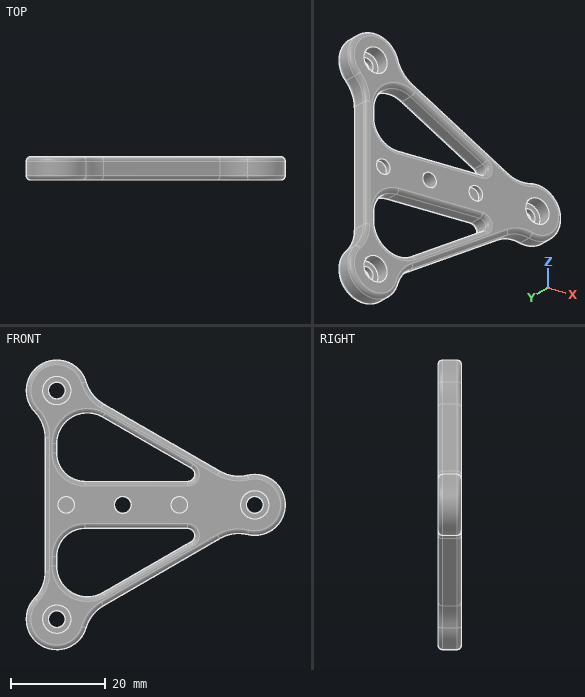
import cadquery as cq
import math

thickness = 5.0
edge_round = 1.0

lug_distance = 28.0
lug_radius = 6.5
lug_angles = (0, 120, 240)
screw_diameter = 3.5
counterbore_diameter = 6.0
counterbore_depth = 3.4

inner_distance = lug_distance / 2
strut_width = 2.5
outer_distance = inner_distance + strut_width
neck_radius = 8.0

bar_half_width = 5.0
bar_hole_diameter = 3.5
blind_hole_offset = 12.0
blind_hole_depth = 1.4

bar_corner_radius = 6.0
lug_corner_radius = 6.5
tip_corner_radius = 1.5


def polar(distance, angle):
    """X, Z position at a distance from the origin and an angle from +X."""
    turn = math.radians(angle)
    return (distance * math.cos(turn), distance * math.sin(turn))


def prism(points):
    """Straight-sided block through the full plate thickness."""
    return cq.Workplane("XZ").polyline(points).close().extrude(-thickness)


def bore(points, diameter, depth):
    """Round bores of the given depth, entered from the front face."""
    return cq.Workplane("XZ").pushPoints(points).circle(diameter / 2).extrude(-depth)


def edge_at(x, z):
    """Selector for the edge along Y that passes through X, Z."""
    return cq.selectors.NearestToPointSelector((x, thickness / 2, z))


def make_body(lugs):
    """Triangular plate with round lugs blended in at its corners."""
    corners = [polar(2 * outer_distance, angle) for angle in lug_angles]
    body = prism(corners).union(bore(lugs, 2 * lug_radius, thickness))
    return body.edges("|Y").fillet(neck_radius)


def make_window():
    """Upper window, between the bar, the left strut and the sloping strut."""
    bar_corner = (-inner_distance, bar_half_width)
    lug_corner = polar(lug_distance, 120)
    tip_x = 2 * inner_distance - bar_half_width * math.tan(math.radians(60))
    tip_corner = (tip_x, bar_half_width)
    window = prism([bar_corner, lug_corner, tip_corner])
    window = window.edges(edge_at(*bar_corner)).fillet(bar_corner_radius)
    window = window.edges(edge_at(*lug_corner)).fillet(lug_corner_radius)
    return window.edges(edge_at(*tip_corner)).fillet(tip_corner_radius)


lug_centers = [polar(lug_distance, angle) for angle in lug_angles]
blind_centers = [(-blind_hole_offset, 0), (blind_hole_offset, 0)]

upper_window = make_window()
lower_window = upper_window.mirror("XY")
plate = make_body(lug_centers).cut(upper_window).cut(lower_window)

plate = plate.faces("<Y or >Y").edges().fillet(edge_round)

plate = plate.cut(bore(lug_centers, screw_diameter, thickness))
plate = plate.cut(bore(lug_centers, counterbore_diameter, counterbore_depth))
plate = plate.cut(bore([(0, 0)], bar_hole_diameter, thickness))
result = plate.cut(bore(blind_centers, bar_hole_diameter, blind_hole_depth))